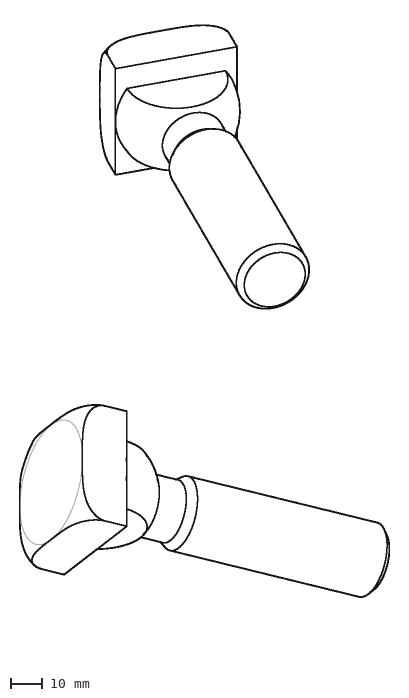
import cadquery as cq

total_length = 116.0
head_width = 40.0
head_thickness = 16.0
shoulder_thickness = 23.5
neck_diameter = 20.3
shank_diameter = 24.0
neck_end = 42.9
shank_start = 45.9
end_chamfer = 2.0

head_radius = head_width / 2
neck_radius = neck_diameter / 2
shank_radius = shank_diameter / 2
corner_reach = head_radius * 2**0.5
corner_round = corner_reach - head_radius


def make_head():
    """Square head whose corners are rounded off around the circular end face."""
    block = cq.Workplane("YZ").rect(head_width, head_width).extrude(head_thickness)
    rounded_disc = (
        cq.Workplane("XY")
        .moveTo(0, 0)
        .lineTo(0, head_radius)
        .radiusArc((corner_round, corner_reach), corner_round)
        .lineTo(head_thickness, corner_reach)
        .lineTo(head_thickness, 0)
        .close()
        .revolve(360, (0, 0, 0), (1, 0, 0))
    )
    return block.intersect(rounded_disc)


def make_shoulder():
    """Half ball behind the head, flattened on its two Z sides."""
    ball = cq.Workplane("XY").sphere(head_radius)
    slab = cq.Workplane("XY").box(
        head_radius, head_width, shoulder_thickness, centered=(False, True, True)
    )
    return ball.intersect(slab).translate((head_thickness, 0, 0))


def make_shank():
    """Neck, conical step and chamfered cylindrical shank."""
    return (
        cq.Workplane("XY")
        .moveTo(head_thickness, 0)
        .lineTo(head_thickness, neck_radius)
        .lineTo(neck_end, neck_radius)
        .lineTo(shank_start, shank_radius)
        .lineTo(total_length - end_chamfer, shank_radius)
        .lineTo(total_length, shank_radius - end_chamfer)
        .lineTo(total_length, 0)
        .close()
        .revolve(360, (0, 0, 0), (1, 0, 0))
    )


result = make_head().union(make_shoulder()).union(make_shank())